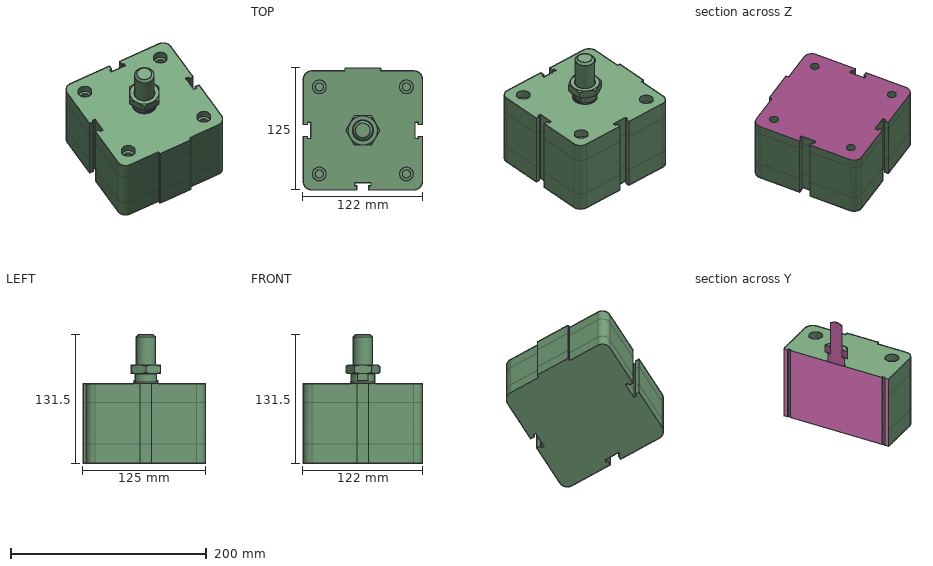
import cadquery as cq
import math

housing_width = 122.0
housing_height = 81.5
half_width = housing_width / 2
corner_radius = 9.0
cap_height = 19.5
barrel_height = housing_height - 2 * cap_height

rib_width = 37.0
rib_height = 3.0
rib_edge_chamfer = 0.5

slot_opening = 12.0
slot_inner_width = 16.5
slot_depth = 7.5
slot_lip = 4.5
slot_angles = (-90, 0, 90)

screw_spacing = 89.0
screw_hole_diameter = 8.38
screw_hole_depth = cap_height
counterbore_diameter = 14.0
counterbore_depth = 8.5

rod_diameter = 25.0
rod_collar_height = 1.75
rod_collar_chamfer = 0.25
neck_diameter = rod_diameter - 2 * rod_collar_chamfer
neck_top = 10.0
neck_chamfer = 0.5
flats_width = 22.0
flats_start = 3.0
thread_diameter = 20.0
thread_length = 40.0
thread_chamfer = 2.5

nut_width = 30.0
nut_height = 9.0
nut_corner_diameter = nut_width / math.cos(math.pi / 6)
nut_face_diameter = 29.9
nut_bevel_angle = math.radians(30)
nut_bore_chamfer = 0.7


def t_slot(height):
    """Cutter for the T-slot on the -Y side."""
    inner_depth = slot_depth - slot_lip
    mouth = (
        cq.Workplane("XY")
        .center(0, -half_width + slot_depth / 2)
        .rect(slot_opening, slot_depth)
        .extrude(height)
    )
    inner = (
        cq.Workplane("XY")
        .center(0, -half_width + slot_lip + inner_depth / 2)
        .rect(slot_inner_width, inner_depth)
        .extrude(height)
    )
    return mouth.union(inner)


def housing_section(bottom, height):
    """One layer of the square housing with its rib and T-slots."""
    block = (
        cq.Workplane("XY")
        .rect(housing_width, housing_width)
        .extrude(height)
        .edges("|Z")
        .fillet(corner_radius)
    )
    rib = (
        cq.Workplane("XY")
        .center(0, half_width)
        .rect(rib_width, 2 * rib_height)
        .extrude(height)
        .edges("|Z and >Y")
        .chamfer(rib_edge_chamfer)
    )
    section = block.union(rib)
    for angle in slot_angles:
        section = section.cut(t_slot(height).rotate((0, 0, 0), (0, 0, 1), angle))
    return section.translate((0, 0, bottom))


def screw_bores(diameter, depth):
    """Four round cutters sunk from the top face at the screw positions."""
    return (
        cq.Workplane("XY")
        .workplane(offset=housing_height)
        .rect(screw_spacing, screw_spacing, forConstruction=True)
        .vertices()
        .circle(diameter / 2)
        .extrude(-depth)
    )


def make_housing():
    """Caps and barrel as one solid; the seams between the layers stay as edges on its sides."""
    lower_cap = housing_section(0, cap_height)
    barrel = housing_section(cap_height, barrel_height)
    upper_cap = housing_section(cap_height + barrel_height, cap_height)
    upper_cap = upper_cap.cut(screw_bores(screw_hole_diameter, screw_hole_depth))
    upper_cap = upper_cap.cut(screw_bores(counterbore_diameter, counterbore_depth))
    return lower_cap.union(barrel, clean=False).union(upper_cap, clean=False)


def make_rod():
    """Rod standing on the housing: collar, neck with two wrench flats, threaded end."""
    collar = (
        cq.Workplane("XY")
        .circle(rod_diameter / 2)
        .extrude(rod_collar_height)
        .faces(">Z")
        .chamfer(rod_collar_chamfer)
    )
    neck = (
        cq.Workplane("XY")
        .circle(neck_diameter / 2)
        .extrude(neck_top)
        .faces(">Z")
        .chamfer(neck_chamfer)
    )
    flats_envelope = (
        cq.Workplane("XY")
        .workplane(offset=flats_start)
        .rect(rod_diameter, flats_width)
        .extrude(neck_top - flats_start)
    )
    lower_neck = cq.Workplane("XY").circle(neck_diameter / 2).extrude(flats_start)
    neck = neck.intersect(flats_envelope).union(lower_neck)
    thread = (
        cq.Workplane("XY")
        .workplane(offset=neck_top)
        .circle(thread_diameter / 2)
        .extrude(thread_length)
        .faces(">Z")
        .chamfer(thread_chamfer)
    )
    rod = collar.union(neck).union(thread)
    return rod.translate((0, 0, housing_height))


def make_nut():
    """Hexagonal nut with corners bevelled at both ends, seated on the rod shoulder."""
    face_radius = nut_face_diameter / 2
    nut_corner_radius = nut_corner_diameter / 2
    bevel_height = (nut_corner_radius - face_radius) * math.tan(nut_bevel_angle)
    hexagon = cq.Workplane("XY").polygon(6, nut_corner_diameter).extrude(nut_height)
    bevel_envelope = (
        cq.Workplane("XZ")
        .moveTo(0, 0)
        .lineTo(face_radius, 0)
        .lineTo(nut_corner_radius, bevel_height)
        .lineTo(nut_corner_radius, nut_height - bevel_height)
        .lineTo(face_radius, nut_height)
        .lineTo(0, nut_height)
        .close()
        .revolve()
    )
    bore = cq.Workplane("XY").circle(thread_diameter / 2).extrude(nut_height)
    nut = hexagon.intersect(bevel_envelope).cut(bore)
    bore_rims = nut.edges(cq.selectors.RadiusNthSelector(0))
    nut = bore_rims.chamfer(nut_bore_chamfer)
    return nut.translate((0, 0, housing_height + neck_top))


housing = make_housing()
rod = make_rod()
nut = make_nut()

bodies = [body.solids().val() for body in (housing, rod, nut)]
result = cq.Compound.makeCompound(bodies)